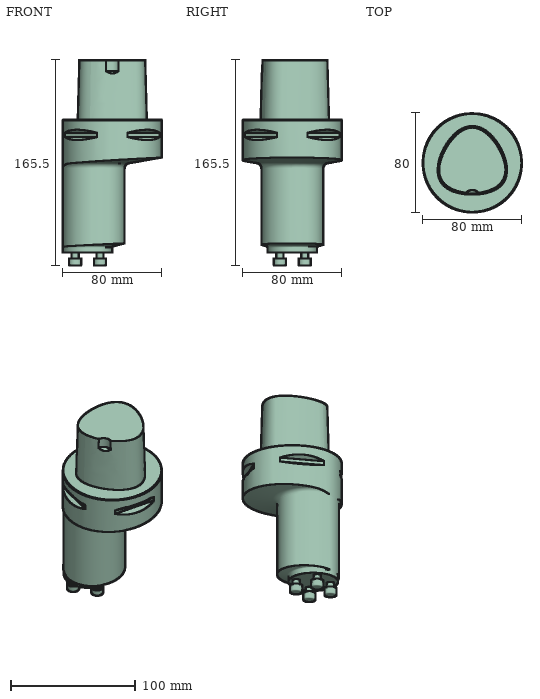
import cadquery as cq
import math

TOTAL_HEIGHT = 165.5

FLANGE_DIAMETER = 80.0
BODY_DIAMETER = 50.0
PLATE_DIAMETER = 40.0
PLATE_BOTTOM_Z = 10.6

FLANGE_TOP_Z = 117.5
FLANGE_RIM_Z = 87.0
FLANGE_UNDER_ANGLE = 10.0
FLANGE_FILLET = 4.0
FLANGE_CHAMFER = 0.5

BODY_RIM_Z = 18.0
BODY_UNDER_ANGLE = 15.0
BODY_FILLET = 1.0

GROOVE_COUNT = 4
GROOVE_Z = 105.3
GROOVE_FLOOR_DISTANCE = 35.6
GROOVE_FLOOR_HEIGHT = 3.3
GROOVE_FLANK_ANGLE = 30.0

SIDE_COUNT = 3
TAPER_BASE_RADIUS = 27.6
TAPER_TOP_RADIUS = 26.3
LOBE_ECCENTRICITY = 2.0
FLAT_SIDE_HALF_ANGLE = 35.0
SPLINE_POINTS = 9

NOTCH_RADIUS = 6.5
NOTCH_WALL_Y = -21.8
NOTCH_SHOULDER_Z = 156.8
NOTCH_TIP_DEPTH = 4.8

SCREW_SPACING = 20.0
SCREW_SHANK_DIAMETER = 6.0
SCREW_HEAD_DIAMETER = 10.0
SCREW_HEAD_HEIGHT = 6.0
SCREW_HEAD_FILLET = 1.0

OVERCUT = 1.7

FLANGE_RADIUS = FLANGE_DIAMETER / 2
BODY_RADIUS = BODY_DIAMETER / 2
PLATE_RADIUS = PLATE_DIAMETER / 2
BODY_X = BODY_RADIUS - FLANGE_RADIUS
PLATE_X = PLATE_RADIUS - FLANGE_RADIUS
BODY_JOINT_Z = (BODY_RIM_Z + FLANGE_RIM_Z) / 2
SIDE_PITCH = math.radians(360 / SIDE_COUNT)
FLAT_SIDE_HALF_TURN = math.radians(FLAT_SIDE_HALF_ANGLE)


def cylinder(x, y, radius, z_low, z_high):
    return cq.Workplane("XY", origin=(x, y, z_low)).circle(radius).extrude(z_high - z_low)


def flared_column(x, radius, z_low, rim_reach, rim_z, angle, fillet, z_high):
    """Column that widens through a fillet into a cone passing rim_z at rim_reach from its axis."""
    slope = math.radians(angle)
    corner_z = rim_z - (rim_reach - radius) * math.tan(slope)
    middle_turn = (math.pi / 2 - slope) / 2
    tangent_length = fillet * math.tan(middle_turn)
    fillet_low_z = corner_z - tangent_length
    fillet_middle = (
        radius + fillet * (1 - math.cos(middle_turn)),
        fillet_low_z + fillet * math.sin(middle_turn),
    )
    fillet_end = (
        radius + tangent_length * math.cos(slope),
        corner_z + tangent_length * math.sin(slope),
    )
    outer_reach = rim_reach + OVERCUT
    outer_z = rim_z + (outer_reach - rim_reach) * math.tan(slope)
    return (
        cq.Workplane("XZ", origin=(x, 0, 0))
        .moveTo(0, z_low)
        .lineTo(radius, z_low)
        .lineTo(radius, fillet_low_z)
        .threePointArc(fillet_middle, fillet_end)
        .lineTo(outer_reach, outer_z)
        .lineTo(outer_reach, z_high)
        .lineTo(0, z_high)
        .close()
        .revolve(360, (0, 0), (0, 1))
    )


def flange():
    """Flange disc with a conical underside blending into the top of the offset body."""
    disc = cylinder(0, 0, FLANGE_RADIUS, BODY_JOINT_Z, FLANGE_TOP_Z).faces(">Z").chamfer(FLANGE_CHAMFER)
    column = flared_column(
        BODY_X, BODY_RADIUS, BODY_JOINT_Z, FLANGE_RADIUS - BODY_X,
        FLANGE_RIM_Z, FLANGE_UNDER_ANGLE, FLANGE_FILLET, FLANGE_TOP_Z,
    )
    return disc.intersect(column)


def body():
    """Offset body with a conical underside blending into the end plate."""
    barrel = cylinder(BODY_X, 0, BODY_RADIUS, PLATE_BOTTOM_Z, BODY_JOINT_Z)
    column = flared_column(
        PLATE_X, PLATE_RADIUS, PLATE_BOTTOM_Z, BODY_RADIUS + BODY_X - PLATE_X,
        BODY_RIM_Z, BODY_UNDER_ANGLE, BODY_FILLET, BODY_JOINT_Z,
    )
    return barrel.intersect(column)


def gripper_groove():
    """Tangential groove with a flat floor and flaring flanks, cut from the +X side."""
    reach = FLANGE_RADIUS + OVERCUT
    floor_half = GROOVE_FLOOR_HEIGHT / 2
    mouth_half = floor_half + (reach - GROOVE_FLOOR_DISTANCE) * math.tan(math.radians(GROOVE_FLANK_ANGLE))
    return (
        cq.Workplane("XZ", origin=(0, 0, GROOVE_Z))
        .polyline([
            (GROOVE_FLOOR_DISTANCE, -floor_half),
            (reach, -mouth_half),
            (reach, mouth_half),
            (GROOVE_FLOOR_DISTANCE, floor_half),
        ])
        .close()
        .extrude(FLANGE_RADIUS, both=True)
    )


def lobe_point(radius, z, turn):
    """Point of the three-lobed curve; turn is in radians from the lobe on +Y."""
    return cq.Vector(
        radius * math.sin(turn) - LOBE_ECCENTRICITY * math.sin(2 * turn),
        radius * math.cos(turn) + LOBE_ECCENTRICITY * math.cos(2 * turn),
        z,
    )


def lobe_direction(radius, turn):
    """Tangent of the three-lobed curve."""
    return cq.Vector(
        radius * math.cos(turn) - 2 * LOBE_ECCENTRICITY * math.cos(2 * turn),
        -radius * math.sin(turn) - 2 * LOBE_ECCENTRICITY * math.sin(2 * turn),
        0,
    )


def lobe_edge(radius, z, start, end):
    turns = [start + (end - start) * i / (SPLINE_POINTS - 1) for i in range(SPLINE_POINTS)]
    return cq.Edge.makeSpline(
        [lobe_point(radius, z, turn) for turn in turns],
        tangents=[lobe_direction(radius, start), lobe_direction(radius, end)],
    )


def lobed_wire(radius, z):
    """Closed curve of three lobes and three flatter sides, one edge for each."""
    edges = []
    for side in range(SIDE_COUNT):
        side_middle = SIDE_PITCH * (side + 0.5)
        side_start = side_middle - FLAT_SIDE_HALF_TURN
        side_end = side_middle + FLAT_SIDE_HALF_TURN
        next_side_start = side_start + SIDE_PITCH
        edges.append(lobe_edge(radius, z, side_start, side_end))
        edges.append(lobe_edge(radius, z, side_end, next_side_start))
    return cq.Wire.assembleEdges(edges)


def taper():
    base = lobed_wire(TAPER_BASE_RADIUS, FLANGE_TOP_Z)
    top = lobed_wire(TAPER_TOP_RADIUS, TOTAL_HEIGHT)
    return cq.Workplane(cq.Solid.makeLoft([base, top], True))


def notch():
    """Vertical drilling with a conical tip whose wall bites into the taper."""
    return (
        cq.Workplane("XZ", origin=(0, NOTCH_WALL_Y - NOTCH_RADIUS, NOTCH_SHOULDER_Z))
        .polyline([
            (0, -NOTCH_TIP_DEPTH),
            (NOTCH_RADIUS, 0),
            (NOTCH_RADIUS, TOTAL_HEIGHT - NOTCH_SHOULDER_Z),
            (0, TOTAL_HEIGHT - NOTCH_SHOULDER_Z),
        ])
        .close()
        .revolve(360, (0, 0), (0, 1))
    )


def screw(x, y):
    head = (
        cylinder(x, y, SCREW_HEAD_DIAMETER / 2, 0, SCREW_HEAD_HEIGHT)
        .faces("<Z").edges().fillet(SCREW_HEAD_FILLET)
    )
    shank = cylinder(x, y, SCREW_SHANK_DIAMETER / 2, SCREW_HEAD_HEIGHT, PLATE_BOTTOM_Z)
    return head.union(shank)


result = flange().union(body()).union(taper().cut(notch()))

for index in range(GROOVE_COUNT):
    groove_angle = 360 / GROOVE_COUNT * (index + 0.5)
    result = result.cut(gripper_groove().rotate((0, 0, 0), (0, 0, 1), groove_angle))

for x_side in (-1, 1):
    for y_side in (-1, 1):
        screw_x = PLATE_X + x_side * SCREW_SPACING / 2
        screw_y = y_side * SCREW_SPACING / 2
        result = result.union(screw(screw_x, screw_y))